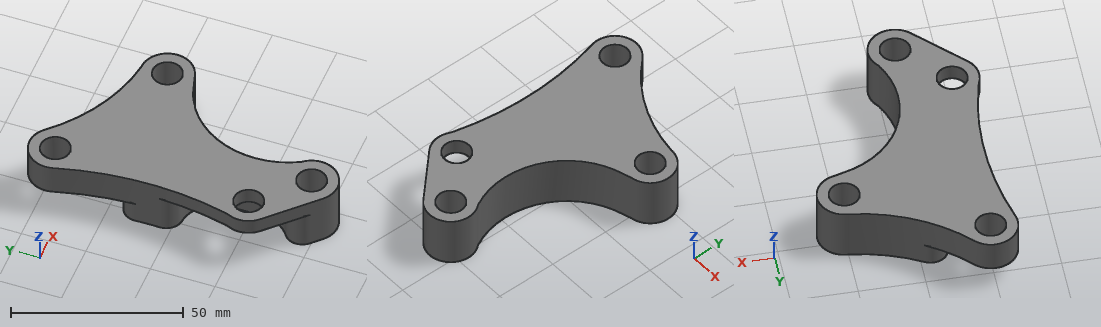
import cadquery as cq
import math

total_height = 17.0
upper_lug_thickness = 10.0
lower_lug_thickness = 5.05

hole_diameter = 9.0
lug_radius = 8.0
upper_hole_y = 59.9
right_hole_x = 39.5
right_hole_y = 40.1
foot_offset = 14.15
lower_hole = (0, 0)
upper_hole = (0, upper_hole_y)
right_hole = (right_hole_x, right_hole_y)
foot_hole = (foot_offset, -foot_offset)

waist_x = -3.8
waist_y = upper_hole_y / 2
left_arc_top_angle = 197
left_arc_end = (-6.85, 4.7)
left_blend_angle = 155.5
upper_arc_middle = (23.1, 52.8)
right_blend_angle = 278
right_arc_start = (38.2, 31.5)
right_arc_middle = (18.6, 14.3)
foot_arc_angle = 42

pocket_radius = 11.0
pocket_length = 10.0
pocket_edge_radius = 5.05


def on_lug(hole, angle):
    """Point on the rim of a lug at an angle in degrees from +X."""
    turn = math.radians(angle)
    return (hole[0] + lug_radius * math.cos(turn), hole[1] + lug_radius * math.sin(turn))


def extruded_outline(thickness):
    """Outline of the bracket, extruded down from the top face."""
    return (
        cq.Workplane("XY")
        .moveTo(*on_lug(upper_hole, left_arc_top_angle))
        .threePointArc(on_lug(upper_hole, 120), on_lug(upper_hole, 45))
        .threePointArc(upper_arc_middle, on_lug(right_hole, 90))
        .threePointArc(on_lug(right_hole, 0), on_lug(right_hole, right_blend_angle))
        .lineTo(*right_arc_start)
        .threePointArc(right_arc_middle, on_lug(foot_hole, foot_arc_angle))
        .threePointArc(on_lug(foot_hole, -90), on_lug(foot_hole, 225))
        .lineTo(*on_lug(lower_hole, 225))
        .threePointArc(on_lug(lower_hole, 180), on_lug(lower_hole, left_blend_angle))
        .lineTo(*left_arc_end)
        .threePointArc((waist_x, waist_y), on_lug(upper_hole, left_arc_top_angle))
        .close()
        .extrude(-thickness)
    )


def cutter(sketch):
    """Full-height cutting tool from a closed sketch."""
    return sketch.close().extrude(-total_height)


def upper_pocket():
    """Clearance under the upper lug: open to the left, rounded at its lower right corner."""
    bend_y = upper_hole_y - pocket_length
    floor_y = bend_y - pocket_radius
    beyond_y = upper_hole_y + 2 * lug_radius
    diagonal = pocket_radius * math.sqrt(0.5)
    return cutter(
        cq.Workplane("XY")
        .moveTo(-pocket_radius, floor_y)
        .lineTo(0, floor_y)
        .threePointArc((diagonal, bend_y - diagonal), (pocket_radius, bend_y))
        .lineTo(pocket_radius, beyond_y)
        .lineTo(-pocket_radius, beyond_y)
    )


def lower_pocket():
    """Clearance under the lower left lug: open to the left, rounded at both right corners."""
    ceiling_y = pocket_length + pocket_radius
    diagonal = pocket_radius * math.sqrt(0.5)
    return cutter(
        cq.Workplane("XY")
        .moveTo(-pocket_radius, ceiling_y)
        .lineTo(0, ceiling_y)
        .threePointArc((diagonal, pocket_length + diagonal), (pocket_radius, pocket_length))
        .lineTo(pocket_radius, 0)
        .threePointArc((-diagonal, -diagonal), (-pocket_radius, 0))
    )


def round_edge_near(body, point):
    """Round the vertical pocket edge closest to a point."""
    nearest = cq.selectors.NearestToPointSelector((*point, -total_height / 2))
    edge = body.edges("|Z").edges(nearest)
    return edge.fillet(pocket_edge_radius)


web = extruded_outline(total_height)
web = web.cut(upper_pocket()).cut(lower_pocket())
pocket_corners = [
    (waist_x, upper_hole_y - pocket_length - pocket_radius),
    (waist_x, pocket_length + pocket_radius),
    (pocket_radius, upper_hole_y),
    (0, -pocket_radius),
]
for corner in pocket_corners:
    web = round_edge_near(web, corner)

block_size = 2 * upper_hole_y
upper_half = cq.Workplane("XY").box(block_size, block_size, block_size).translate(
    (0, waist_y + block_size / 2, 0)
)
upper_lug = extruded_outline(upper_lug_thickness).intersect(upper_half)
lower_lug = extruded_outline(lower_lug_thickness)
body = web.union(upper_lug).union(lower_lug)

holes = (
    cq.Workplane("XY")
    .pushPoints([lower_hole, upper_hole, right_hole, foot_hole])
    .circle(hole_diameter / 2)
    .extrude(-total_height)
)
result = body.cut(holes)